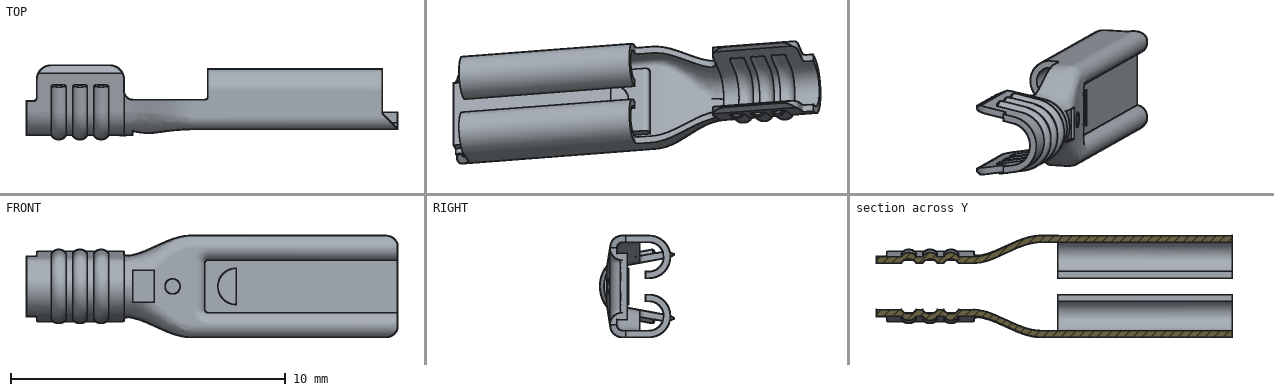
import math

import cadquery as cq

sheet = 0.25
length = 13.51

crimp_end = 3.56
crimp_bottom = -0.22
crimp_radius = 1.04
wing_tilt = 10.5
wing_start = 0.376
wing_top = 2.34
wing_corner = 0.53
mouth_top = 1.04
mouth_fillet = 0.12
tip_outer_length, tip_outer_bite = 0.29, 0.16
tip_inner_length, tip_inner_bite = 0.16, 0.07

bead_first = 1.18
bead_pitch = 0.77
bead_count = 3
bead_half_width = 0.27
bead_height = 0.155
bead_top = 1.63
bead_overlap = 0.05
bead_end_bevel = 0.06

transition_end = 5.98
transition_top = 1.09
transition_steps = 6
transition_first_flat = 0.005
shoulder_radius = 0.3

box_half_width = 1.855
roll_radius = 0.455
curl_base = 1.42
curl_radius = 0.78
curl_lip = 0.13
wall_start = 6.6
wall_end = 12.95
wall_fillet = 0.1
end_bevel_top = 0.58

floor_top = 0.63
pocket_depth = floor_top - sheet
pocket_half_width = 0.955
pocket_start = 6.5
pocket_corner = 0.12
pocket_edge_radius = 0.44
plateau_edge_radius = 0.16

dimple_edge = 7.63
dimple_radius = 0.66
dimple_depth = 0.06

tablet_start, tablet_end = 3.87, 4.66
tablet_half_width = 0.58
tablet_floor = -0.02
spot_x = 5.32
spot_radius = 0.275
spot_floor = 0.02

clear = 5.0


def section_plane(x):
    """Plane across the part at x, with local axes along Y and Z."""
    return cq.Workplane("YZ", origin=(x, 0, 0))


def u_outline(work, bottom, flat, radius, tilt, top):
    """Filled U: flat base, two corner arcs and sides leaning outward by tilt degrees."""
    lean = math.radians(tilt)
    middle = (math.pi / 2 - lean) / 2
    centre = bottom + radius
    tangent_y = centre - radius * math.sin(lean)
    tangent_z = flat + radius * math.cos(lean)
    middle_y = centre - radius * math.cos(middle)
    middle_z = flat + radius * math.sin(middle)
    top_z = tangent_z + (top - tangent_y) * math.tan(lean)
    left_side = work.moveTo(top, -top_z).lineTo(tangent_y, -tangent_z)
    if flat == 0:
        base = left_side.threePointArc((bottom, 0), (tangent_y, tangent_z))
        return base.lineTo(top, top_z).close()
    return (
        left_side.threePointArc((middle_y, -middle_z), (bottom, -flat))
        .lineTo(bottom, flat)
        .threePointArc((middle_y, middle_z), (tangent_y, tangent_z))
        .lineTo(top, top_z)
        .close()
    )


def u_prism(start, end, bottom, flat, radius, tilt, top):
    return u_outline(section_plane(start), bottom, flat, radius, tilt, top).extrude(end - start)


def both_sides(shape):
    return shape.union(shape.mirror("XY"))


def wing_face_z(y, depth=0.0):
    """Z of the wing face lying the given depth below the outer face, at height y."""
    lean = math.radians(wing_tilt)
    tangent_y = crimp_bottom + crimp_radius * (1 - math.sin(lean))
    outer_z = crimp_radius * math.cos(lean) + (y - tangent_y) * math.tan(lean)
    return outer_z - depth / math.cos(lean)


def wing_tip_cutter(depth, taper_length, bite):
    """Wedge that thins the wing tip; a positive bite goes toward the plane of symmetry."""
    base_y = wing_top - taper_length
    wedge = section_plane(0).polyline(
        [
            (base_y, wing_face_z(base_y, depth)),
            (wing_top, wing_face_z(wing_top, depth) - bite),
            (wing_top, wing_face_z(wing_top, depth)),
        ]
    )
    return both_sides(wedge.close().extrude(crimp_end))


def bead(x, depth):
    """Bead around the barrel, rising from the surface at the given depth below the outer face."""
    base_radius = crimp_radius - depth
    centre = crimp_bottom + crimp_radius
    sweep = 90 - wing_tilt

    profile = (
        cq.Workplane("XY", origin=(x, centre, 0))
        .moveTo(-bead_half_width, bead_overlap - base_radius)
        .lineTo(-bead_half_width, -base_radius)
        .threePointArc((0, -base_radius - bead_height), (bead_half_width, -base_radius))
        .lineTo(bead_half_width, bead_overlap - base_radius)
        .close()
    )
    leg_profile = cq.Workplane("XY").add(profile.val()).toPending()
    hoop = profile.revolve(sweep, (0, 0, 0), (-1, 0, 0))
    lean = math.radians(wing_tilt)
    leg_length = (bead_top - centre) / math.cos(lean) + base_radius * math.tan(lean)
    leg = leg_profile.extrude(leg_length)
    leg = leg.faces(">Z").edges("%CIRCLE").chamfer(bead_end_bevel)
    leg = leg.rotate((x, centre, 0), (x - 1, centre, 0), sweep)
    return both_sides(hoop.union(leg))


def crimp():
    outer = u_prism(0, crimp_end, crimp_bottom, 0, crimp_radius, wing_tilt, wing_top)
    bore = u_prism(
        0, crimp_end, crimp_bottom + sheet, 0, crimp_radius - sheet, wing_tilt, wing_top
    )
    barrel = outer.cut(bore)
    barrel = barrel.cut(wing_tip_cutter(0, tip_outer_length, tip_outer_bite))
    barrel = barrel.cut(wing_tip_cutter(sheet, tip_inner_length, -tip_inner_bite))
    bead_places = [bead_first + i * bead_pitch for i in range(bead_count)]
    for x in bead_places:
        barrel = barrel.union(bead(x, 0))
    for x in bead_places:
        barrel = barrel.cut(bead(x, sheet))
    return barrel


def transition_skin(depth):
    """Solid bounded by the surface lying the given depth inside the outer surface."""
    top = transition_top + shoulder_radius
    sections = []
    for step in range(transition_steps + 1):
        share = step / transition_steps
        blend = share**2 * (3 - 2 * share)
        x = crimp_end + share * (transition_end - crimp_end)
        bottom = crimp_bottom * (1 - blend)
        radius = crimp_radius + blend * (roll_radius - crimp_radius)
        flat = transition_first_flat + blend * (box_half_width - roll_radius - transition_first_flat)
        tilt = wing_tilt * (1 - blend)
        outline = u_outline(section_plane(x), bottom + depth, flat, radius - depth, tilt, top)
        sections.append(outline.val())
    return cq.Workplane(cq.Solid.makeLoft(sections))


def transition():
    return transition_skin(0).cut(transition_skin(sheet))


def curl():
    """Inward curl along the top of one box wall, ending in a short straight lip."""
    run = wall_end - wall_start
    centre_z = box_half_width - curl_radius
    inner = curl_radius - sheet
    half_ring = (
        section_plane(wall_start)
        .moveTo(curl_base, centre_z + curl_radius)
        .threePointArc((curl_base + curl_radius, centre_z), (curl_base, centre_z - curl_radius))
        .lineTo(curl_base - curl_lip, centre_z - curl_radius)
        .lineTo(curl_base - curl_lip, centre_z - inner)
        .lineTo(curl_base, centre_z - inner)
        .threePointArc((curl_base + inner, centre_z), (curl_base, centre_z + inner))
        .close()
    )
    return half_ring.extrude(run)


def floor_block(start, half_width, bottom, top):
    """Block centred on the raised floor, running from start to the end of the part."""
    return (
        cq.Workplane("XZ", origin=(0, bottom, 0))
        .moveTo(start, -half_width)
        .lineTo(length, -half_width)
        .lineTo(length, half_width)
        .lineTo(start, half_width)
        .close()
        .extrude(bottom - top)
    )


def box():
    flat = box_half_width - roll_radius
    blank = u_prism(transition_end, length, 0, flat, roll_radius, 0, curl_base)
    pocket = floor_block(pocket_start, pocket_half_width, 0, floor_top)
    pocket = pocket.edges("|Y and <X").fillet(pocket_corner)
    blank = blank.cut(pocket)
    pocket_rim = cq.selectors.BoxSelector(
        (pocket_start - sheet, -sheet, -pocket_half_width - sheet),
        (length - sheet, sheet / 2, pocket_half_width + sheet),
    )
    blank = blank.edges(pocket_rim).fillet(pocket_edge_radius)

    raised_floor = floor_block(pocket_start, pocket_half_width, pocket_depth, floor_top)
    plateau = floor_block(pocket_start - sheet, pocket_half_width + sheet, 0, floor_top)
    plateau = plateau.edges("|Z and >Y and <X").fillet(plateau_edge_radius)
    cavity = u_prism(transition_end, length, sheet, flat, roll_radius - sheet, 0, curl_base)
    shell = blank.union(raised_floor).cut(cavity.cut(plateau))
    return shell.union(both_sides(curl()))


def end_cutter():
    """Bevels the walls and the outer half of each roll, leaving the rest as a tongue."""
    profile = (
        cq.Workplane("XY", origin=(0, 0, box_half_width - roll_radius))
        .moveTo(wall_end, clear)
        .lineTo(wall_end, end_bevel_top)
        .lineTo(wall_end + end_bevel_top, 0)
        .lineTo(length + clear, 0)
        .lineTo(length + clear, clear)
        .close()
    )
    return both_sides(profile.extrude(clear))


def side_outline():
    """Side silhouette of the open edge of the strip, used to trim the formed blank."""
    corner_mid = wing_corner * (1 - math.sqrt(0.5))
    fillet_mid = math.sqrt(0.5)
    mouth_x, mouth_y = wing_start - mouth_fillet, mouth_top + mouth_fillet
    shoulder_x, shoulder_y = crimp_end + shoulder_radius, transition_top + shoulder_radius
    wall_x, wall_y = wall_start - wall_fillet, transition_top + wall_fillet
    return (
        cq.Workplane("XY", origin=(0, 0, -clear))
        .moveTo(0, -clear)
        .lineTo(0, mouth_top)
        .lineTo(mouth_x, mouth_top)
        .threePointArc(
            (mouth_x + mouth_fillet * fillet_mid, mouth_y - mouth_fillet * fillet_mid),
            (wing_start, mouth_y),
        )
        .lineTo(wing_start, wing_top - wing_corner)
        .threePointArc(
            (wing_start + corner_mid, wing_top - corner_mid), (wing_start + wing_corner, wing_top)
        )
        .lineTo(crimp_end - wing_corner, wing_top)
        .threePointArc(
            (crimp_end - corner_mid, wing_top - corner_mid), (crimp_end, wing_top - wing_corner)
        )
        .lineTo(crimp_end, shoulder_y)
        .threePointArc(
            (shoulder_x - shoulder_radius * fillet_mid, shoulder_y - shoulder_radius * fillet_mid),
            (shoulder_x, transition_top),
        )
        .lineTo(wall_x, transition_top)
        .threePointArc(
            (wall_x + wall_fillet * fillet_mid, wall_y - wall_fillet * fillet_mid),
            (wall_start, wall_y),
        )
        .lineTo(wall_start, clear)
        .lineTo(length, clear)
        .lineTo(length, -clear)
        .close()
        .extrude(2 * clear)
    )


def dimple(level):
    """Half-round wedge on the plane y = level, sloping up to its straight side."""
    wedge = (
        cq.Workplane("XY", origin=(0, 0, -dimple_radius))
        .moveTo(dimple_edge - dimple_radius, level)
        .lineTo(dimple_edge, level + dimple_depth)
        .lineTo(dimple_edge, level)
        .close()
        .extrude(2 * dimple_radius)
    )
    disc = cq.Workplane("XZ", origin=(dimple_edge, level, 0)).circle(dimple_radius)
    disc = disc.extrude(-dimple_depth)
    return wedge.intersect(disc)


def tablet_recess():
    span = tablet_end - tablet_start
    middle = (tablet_start + tablet_end) / 2
    block = cq.Workplane("XY").box(span, clear, 2 * tablet_half_width)
    return block.translate((middle, tablet_floor - clear / 2, 0))


def spot_recess():
    return cq.Workplane("XZ", origin=(spot_x, spot_floor, 0)).circle(spot_radius).extrude(clear)


result = crimp().union(transition()).union(box())
result = result.intersect(side_outline()).cut(end_cutter())
result = result.union(dimple(floor_top)).cut(dimple(pocket_depth))
result = result.cut(tablet_recess()).cut(spot_recess())